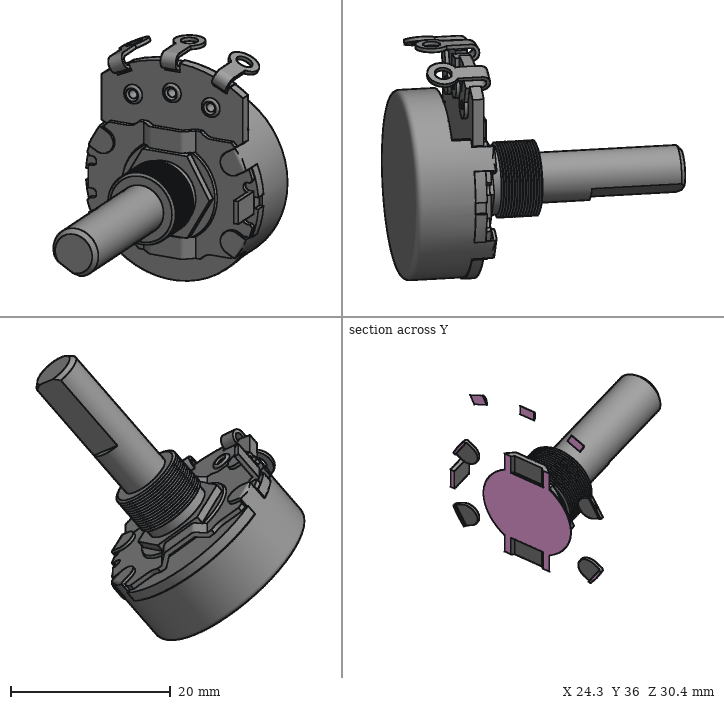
import cadquery as cq
import math


can_radius = 11.95
can_depth = 7.5
can_sheet = 0.45
can_edge_fillet = 0.72
window_depth = 5.1
window_floor = 8.07

tab_angles = (30, 150, 210, 330)
tab_width = 3.17
tab_front = 10.4
tab_seat_radius = can_radius - can_sheet
tab_end_center = 10.52
tab_bend_radius = 0.45

wafer_radius = 12.15
wafer_front = 8.95
wafer_head_radius = 16.85
wafer_head_width = 19.9
wafer_side_notch_width = 1.55
wafer_side_notch_floor = 11.57

plate_radius = 12.05
plate_thickness = 0.65
plate_front = wafer_front + plate_thickness
plate_half_height = 7.68
plate_shoulder_half_width = 5.23
plate_shoulder_radius = 1.8
plate_corner_half_width = 8.6
slot_width = 1.25
slot_inner_end = 10.3
slot_mouth_chamfer = 0.45
tongue_half_width = 1.5
tongue_edge = 11.45
locating_pin_thickness = 0.6
locating_pin_tip = 13.2

bridge_inner = 5.62
bridge_outer = 8.47
bridge_foot_half_width = 3.65
bridge_top_half_width = 2.27
bridge_bend_radius = 0.65
bridge_edge_half_width = 4.3
bridge_front = 10.75

boss_base_radius = 6.65
boss_top_radius = 6.52
boss_front = 9.95
nut_across_flats = 10.9
nut_front = 11.0
collar_radius = 4.35
thread_radius = 4.75
thread_start = 12.25
thread_end = 17.5
thread_count = 15
hub_radius = 3.03
hub_back = 6.65

shaft_radius = 3.17
shaft_tip = 36.05
shaft_chamfer = 0.58
flat_start = 24.05
flat_distance = 2.3
flat_angle = 30

terminal_angles = (-25, 0, 25)
side_terminal_offset = 0.15
terminal_sheet = 0.5
terminal_width = 2.13
terminal_top = 18.2
terminal_bend_front = 10.1
terminal_bend_radius = 1.1
eyelet_radius = 2.02
eyelet_hole_radius = 1.08
eyelet_depth = 4.18
terminal_notch_floor = 15.65
rivet_center = 12.75
rivet_pad_radius = 1.73
rivet_head_radius = 1.25
rivet_head_height = 0.35
rivet_head_round = 0.32
rivet_hole_radius = 0.58
rivet_funnel_radius = 0.85


def at_depth(depth):
    """Workplane facing the shaft tip: local x is X, local y is Z."""
    return cq.Workplane("XZ").workplane(offset=depth)


def cylinder(radius, start, end):
    return at_depth(start).circle(radius).extrude(end - start)


def block(x_start, x_end, z_start, z_end, start, end):
    size_x = x_end - x_start
    size_z = z_end - z_start
    plane = at_depth(start).center(x_start + size_x / 2, z_start + size_z / 2)
    return plane.rect(size_x, size_z).extrude(end - start)


def turned(solid, angle):
    """Turn about the shaft axis, by the right-hand rule about -Y."""
    return solid.rotate((0, 0, 0), (0, -1, 0), angle)


def at_terminal(solid, angle):
    """Move a solid from the middle terminal to the one at the given angle."""
    offset = 0 if angle == 0 else side_terminal_offset
    return turned(solid.translate((0, 0, offset)), angle)


def make_can():
    can = cylinder(can_radius, 0, can_depth).faces(">Y").edges().fillet(can_edge_fillet)
    can = can.cut(cylinder(tab_seat_radius, can_sheet, can_depth))
    window = block(-can_radius, can_radius, window_floor, can_radius, window_depth, can_depth)
    return can.cut(window)


def make_tab():
    """One tab along +X: a strip of the can wall with a rounded end folded inwards."""
    half = tab_width / 2
    strip = block(tab_end_center, can_radius, -half, half, can_depth - can_sheet, tab_front)
    strip = strip.faces("<Y").edges(">X").fillet(tab_bend_radius)
    fold_back = tab_front - can_sheet
    strip = strip.cut(block(0, tab_seat_radius, -half, half, 0, fold_back))
    strip = strip.intersect(cylinder(can_radius, 0, tab_front))
    rounded_end = cylinder(half, fold_back, tab_front).translate((tab_end_center, 0, 0))
    inner_half = block(tab_end_center - half, tab_end_center, -half, half, fold_back, tab_front)
    return strip.union(rounded_end.intersect(inner_half))


def cut_tab_seats(sheet):
    half = tab_width / 2
    seat = block(tab_seat_radius, wafer_head_radius, -half, half, can_depth, tab_front)
    for angle in tab_angles:
        sheet = sheet.cut(turned(seat, angle))
    return sheet


def make_wafer():
    head_half = wafer_head_width / 2
    head = block(-head_half, head_half, 0, wafer_head_radius, can_depth, wafer_front)
    head = head.intersect(cylinder(wafer_head_radius, can_depth, wafer_front))
    head_bottom = tab_seat_radius * math.sin(math.radians(tab_angles[0]))
    head = head.cut(block(-head_half, head_half, 0, head_bottom, can_depth, wafer_front))
    wafer = cut_tab_seats(cylinder(wafer_radius, can_depth, wafer_front).union(head))

    notch_half = wafer_side_notch_width / 2
    for side in (0, 180):
        notch = block(
            wafer_side_notch_floor, wafer_radius, -notch_half, notch_half, can_depth, wafer_front
        )
        wafer = wafer.cut(turned(notch, side))

    half = terminal_width / 2
    notch = block(-half, half, terminal_notch_floor, terminal_top, can_depth, wafer_front)
    for angle in terminal_angles:
        wafer = wafer.cut(at_terminal(notch, angle))
    return wafer


def plate_half_outline(sign):
    """Points of the upper (+1) or lower (-1) edge, from the -X side to the +X side."""
    seat = math.radians(tab_angles[0])
    tab_corner_x = tab_seat_radius * math.cos(seat) - tab_width / 2 * math.sin(seat)
    tab_corner_z = tab_seat_radius * math.sin(seat) + tab_width / 2 * math.cos(seat)
    right_side = [
        (bridge_edge_half_width, bridge_outer),
        (plate_shoulder_half_width, plate_half_height),
        (plate_corner_half_width, plate_half_height),
        (tab_corner_x, tab_corner_z),
        (plate_radius, tab_corner_z),
    ]
    left_side = [(-x, z) for x, z in reversed(right_side)]
    return [(x, sign * z) for x, z in left_side + right_side]


def make_plate():
    outline = plate_half_outline(1) + plate_half_outline(-1)[::-1]
    plate = at_depth(wafer_front).polyline(outline).close().extrude(plate_thickness)
    shoulders = plate.edges("|Y").filter(
        lambda edge: math.isclose(abs(edge.Center().x), plate_shoulder_half_width)
    )
    plate = shoulders.fillet(plate_shoulder_radius)
    plate = cut_tab_seats(plate.intersect(cylinder(plate_radius, wafer_front, plate_front)))

    slot_radius = slot_width / 2
    slot_z = tongue_half_width + slot_radius
    slot_top = tongue_half_width + slot_width
    for side in (-1, 1):
        for end in (-1, 1):
            round_center = side * (slot_inner_end + slot_radius)
            mouth = [
                (round_center, end * tongue_half_width),
                (side * plate_radius, end * tongue_half_width),
                (side * plate_radius, end * (slot_top + 2 * slot_mouth_chamfer)),
                (side * (tongue_edge - slot_mouth_chamfer / 2), end * slot_top),
                (round_center, end * slot_top),
            ]
            plate = plate.cut(at_depth(wafer_front).polyline(mouth).close().extrude(plate_thickness))
            slot_end = cylinder(slot_radius, wafer_front, plate_front)
            plate = plate.cut(slot_end.translate((round_center, 0, end * slot_z)))
        tongue_waste = block(
            tongue_edge, plate_radius, -tongue_half_width, tongue_half_width, wafer_front, plate_front
        )
        plate = plate.cut(turned(tongue_waste, 0 if side == 1 else 180))

    for sign in (-1, 1):
        inner, outer = sorted((sign * bridge_inner, sign * bridge_outer))
        opening = block(
            -bridge_foot_half_width, bridge_foot_half_width, inner, outer, wafer_front, plate_front
        )
        plate = plate.cut(opening).union(make_bridge(inner))

    pin = block(
        tongue_edge - locating_pin_thickness, tongue_edge,
        -tongue_half_width, tongue_half_width, wafer_front, locating_pin_tip,
    )
    return plate.union(pin)


def make_bridge(z_start):
    underside = bridge_front - plate_thickness
    foot = bridge_foot_half_width
    top = bridge_top_half_width
    slope = math.atan2(bridge_front - plate_front, foot - top)
    shift = plate_thickness * math.tan(slope / 2)
    profile = [
        (-foot - shift, -wafer_front),
        (-foot - shift, -plate_front),
        (-foot, -plate_front),
        (-top, -bridge_front),
        (top, -bridge_front),
        (foot, -plate_front),
        (foot + shift, -plate_front),
        (foot + shift, -wafer_front),
        (foot - shift, -wafer_front),
        (top - shift, -underside),
        (shift - top, -underside),
        (shift - foot, -wafer_front),
    ]
    bridge = cq.Workplane("XY", origin=(0, 0, z_start)).polyline(profile).close()
    bridge = bridge.extrude(bridge_outer - bridge_inner)
    return bridge.faces("<Y").edges("|Z").fillet(bridge_bend_radius)


def make_bushing():
    """Hub, boss cone, collar and thread ridges as one turned body, plus the hexagon nut."""
    pitch = (thread_end - thread_start) / thread_count
    profile = [
        (0, -hub_back),
        (hub_radius, -hub_back),
        (hub_radius, -wafer_front),
        (boss_base_radius, -wafer_front),
        (boss_base_radius, -plate_front),
        (boss_top_radius, -boss_front),
        (collar_radius, -boss_front),
        (collar_radius, -thread_start),
    ]
    for turn in range(thread_count):
        groove = thread_start + turn * pitch
        profile.append((thread_radius, -(groove + pitch / 2)))
        profile.append((collar_radius, -(groove + pitch)))
    profile.append((0, -thread_end))
    body = cq.Workplane("XY").polyline(profile).close().revolve(360, (0, 0, 0), (0, 1, 0))
    for sign in (-1, 1):
        inner, outer = sorted((sign * bridge_inner, sign * bridge_outer))
        body = body.cut(block(-boss_base_radius, boss_base_radius, inner, outer, wafer_front, boss_front))

    nut_corners = nut_across_flats / math.cos(math.radians(30))
    nut = at_depth(boss_front).polygon(6, nut_corners).extrude(nut_front - boss_front)
    return body.union(nut)


def make_shaft():
    shaft = cylinder(shaft_radius, thread_start, shaft_tip).faces("<Y").edges().chamfer(shaft_chamfer)
    waste = block(-shaft_radius, shaft_radius, -shaft_radius, -flat_distance, flat_start, shaft_tip)
    return shaft.cut(turned(waste, -flat_angle))


def make_terminal():
    """One terminal pointing up along Z: eyelet, hairpin bend and riveted pad."""
    half = terminal_width / 2
    bend_z = terminal_top - terminal_bend_radius
    bend_depth = terminal_bend_front - terminal_bend_radius
    inner_radius = terminal_bend_radius - terminal_sheet
    strip_bottom = bend_z - terminal_bend_radius
    pad_back = can_depth - terminal_sheet

    arm_bottom = terminal_top - terminal_sheet
    eyelet_plane = cq.Workplane("XY", origin=(0, -eyelet_depth, arm_bottom))
    eyelet = eyelet_plane.circle(eyelet_radius).extrude(terminal_sheet)
    hole = eyelet_plane.circle(eyelet_hole_radius).extrude(terminal_sheet)
    upper_arm = block(-half, half, arm_bottom, terminal_top, eyelet_depth, bend_depth)
    bend_plane = cq.Workplane("YZ", origin=(-half, -bend_depth, bend_z))
    bend = bend_plane.circle(terminal_bend_radius).circle(inner_radius).extrude(terminal_width)
    bend = bend.intersect(
        block(-half, half, strip_bottom, terminal_top, bend_depth, terminal_bend_front)
    )
    lower_arm = block(-half, half, strip_bottom, strip_bottom + terminal_sheet, pad_back, bend_depth)
    tail = block(-half, half, rivet_center, strip_bottom + terminal_sheet, pad_back, can_depth)
    pad = cylinder(rivet_pad_radius, pad_back, can_depth).translate((0, 0, rivet_center))
    terminal = eyelet.union(upper_arm).cut(hole)
    return terminal.union(bend).union(lower_arm).union(tail).union(pad)


def make_rivet_head():
    head = cylinder(rivet_head_radius, wafer_front, wafer_front + rivet_head_height)
    head = head.faces("<Y").edges().fillet(rivet_head_round)
    return head.translate((0, 0, rivet_center))


def make_rivet_hole():
    """Through hole that opens into a 45 degree funnel at the front of the rivet head."""
    head_front = wafer_front + rivet_head_height
    funnel_depth = rivet_funnel_radius - rivet_hole_radius
    profile = [
        (0, 0),
        (rivet_hole_radius, 0),
        (rivet_hole_radius, funnel_depth - head_front),
        (rivet_funnel_radius, -head_front),
        (0, -head_front),
    ]
    hole = cq.Workplane("XY").polyline(profile).close().revolve(360, (0, 0, 0), (0, 1, 0))
    return hole.translate((0, 0, rivet_center))


def add_terminals(body):
    terminal = make_terminal()
    rivet_head = make_rivet_head()
    hole = make_rivet_hole()
    for angle in terminal_angles:
        body = body.union(at_terminal(terminal, angle)).union(at_terminal(rivet_head, angle))
        body = body.cut(at_terminal(hole, angle))
    return body


result = make_can().union(make_wafer()).union(make_plate())
for tab_angle in tab_angles:
    result = result.union(turned(make_tab(), tab_angle))

result = result.union(make_bushing()).union(make_shaft())
result = add_terminals(result)